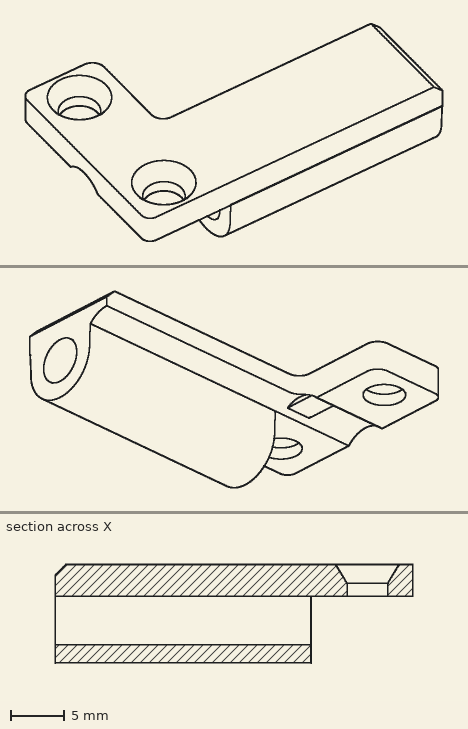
import cadquery as cq
import math

WIDTH = 21.0
LENGTH = 33.5
HEIGHT = 9.25
PLATE_THICKNESS = 2.98

FOOT_LENGTH = 8.5
LEG_WIDTH = 10.5
FRONT_CORNER_RADIUS = 1.0
INNER_CORNER_RADIUS = 1.35
END_CHAMFER = 1.0
LEG_LEFT = WIDTH - LEG_WIDTH

HOLE_DIAMETER = 4.0
COUNTERSINK_DIAMETER = 6.03
COUNTERSINK_ANGLE = 60.0
HOLE_EDGE_DISTANCE = 3.5

LUG_RADIUS = 4.0
LUG_TOP_HALF_WIDTH = 4.1
BORE_DIAMETER = 4.5
BORE_DEPTH_BELOW_PLATE = HEIGHT - PLATE_THICKNESS - LUG_RADIUS
LUG_SIDE_END_ABOVE_BORE = 0.27
LUG_CENTER_X = 16.85
LUG_START_Y = 9.5

GROOVE_CENTER_X = WIDTH / 2
GROOVE_DEPTH = 1.0
GROOVE_HALF_WIDTH = 2.25
WEB_CLEARANCE = 0.5
WEB_START_Y = 5.7
WEB_END_Y = FOOT_LENGTH


def make_plate():
    foot = (
        cq.Workplane("XY")
        .rect(WIDTH, FOOT_LENGTH, centered=False)
        .extrude(PLATE_THICKNESS)
    )
    leg = (
        cq.Workplane("XY")
        .center(LEG_LEFT, 0)
        .rect(LEG_WIDTH, LENGTH, centered=False)
        .extrude(PLATE_THICKNESS)
    )
    plate = foot.union(leg)
    plate = plate.edges("|Z and <Y").fillet(FRONT_CORNER_RADIUS)
    inner_corner = cq.selectors.NearestToPointSelector((LEG_LEFT, FOOT_LENGTH, PLATE_THICKNESS / 2))
    plate = plate.edges(inner_corner).fillet(INNER_CORNER_RADIUS)
    outer_corner = cq.selectors.NearestToPointSelector((0, FOOT_LENGTH, PLATE_THICKNESS / 2))
    plate = plate.edges(outer_corner).fillet(INNER_CORNER_RADIUS)
    return plate.faces(">Y").edges(">Z").chamfer(END_CHAMFER)


def along_y(profile, start, end):
    """Extrude a closed XZ profile from Y = start to Y = end."""
    return profile.extrude(start - end).translate((0, start, 0))


def make_groove():
    """Round groove at full depth on both sides of a web and shallower under it."""
    left = GROOVE_CENTER_X - GROOVE_HALF_WIDTH
    right = GROOVE_CENTER_X + GROOVE_HALF_WIDTH
    profile = (
        cq.Workplane("XZ")
        .moveTo(left, 0)
        .threePointArc((GROOVE_CENTER_X, GROOVE_DEPTH), (right, 0))
        .close()
    )
    groove = along_y(profile, 0, LENGTH)
    web_profile = (
        cq.Workplane("XZ")
        .moveTo(left, WEB_CLEARANCE)
        .lineTo(right, WEB_CLEARANCE)
        .lineTo(right, GROOVE_DEPTH)
        .lineTo(left, GROOVE_DEPTH)
        .close()
    )
    return groove.cut(along_y(web_profile, WEB_START_Y, WEB_END_Y))


def make_lug():
    """U-shaped lug whose slightly tapered sides end on the round just above the bore axis."""
    side_end_x = math.sqrt(LUG_RADIUS**2 - LUG_SIDE_END_ABOVE_BORE**2)
    side_end_z = LUG_SIDE_END_ABOVE_BORE - BORE_DEPTH_BELOW_PLATE
    bottom_z = -BORE_DEPTH_BELOW_PLATE - LUG_RADIUS
    profile = (
        cq.Workplane("XZ")
        .center(LUG_CENTER_X, 0)
        .moveTo(-LUG_TOP_HALF_WIDTH, 0)
        .lineTo(-side_end_x, side_end_z)
        .threePointArc((0, bottom_z), (side_end_x, side_end_z))
        .lineTo(LUG_TOP_HALF_WIDTH, 0)
        .close()
    )
    return along_y(profile, LUG_START_Y, LENGTH)


def make_bore():
    profile = (
        cq.Workplane("XZ")
        .center(LUG_CENTER_X, -BORE_DEPTH_BELOW_PLATE)
        .circle(BORE_DIAMETER / 2)
    )
    return along_y(profile, LUG_START_Y, LENGTH)


plate = (
    make_plate()
    .cut(make_groove())
    .faces(">Z")
    .workplane(origin=(0, 0, PLATE_THICKNESS))
    .pushPoints([(x, FOOT_LENGTH / 2) for x in (HOLE_EDGE_DISTANCE, WIDTH - HOLE_EDGE_DISTANCE)])
    .cskHole(HOLE_DIAMETER, COUNTERSINK_DIAMETER, COUNTERSINK_ANGLE)
)
result = plate.union(make_lug()).cut(make_bore())